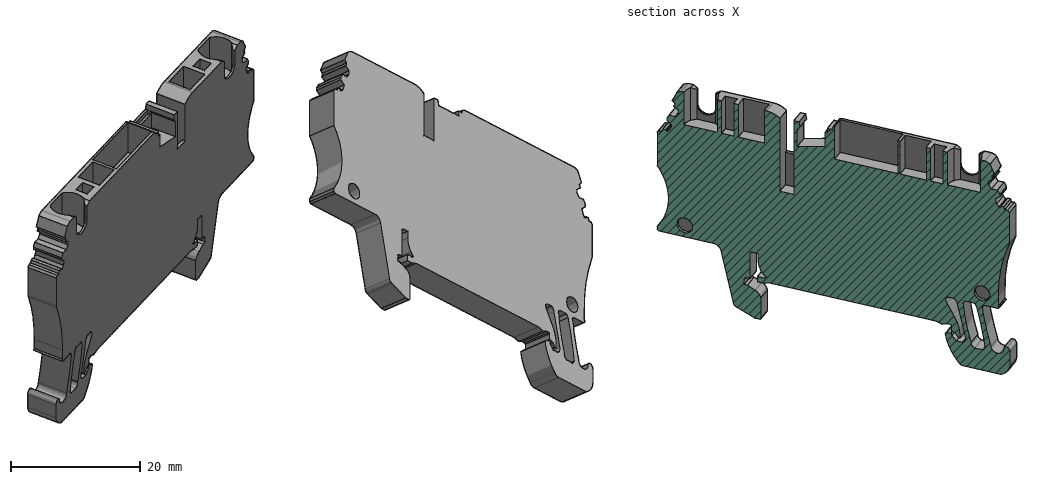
import cadquery as cq
import math

THICKNESS = 5.1
HALF_LENGTH = 29.7
HEIGHT = 38.35
BODY_BOTTOM = 11.9
RAIL_SEAT = 7.0
HALF_THICKNESS = THICKNESS / 2
OVERCUT = 0.6

TEETH = [
    (26.4, 37.95), (27.2, 36.3), (26.75, 35.85), (26.75, 35.45), (26.95, 35.3),
    (26.2, 34.75), (26.2, 34.15), (26.65, 33.5), (27.65, 33.55), (28.1, 32.85), (28.1, 32.4),
    (27.3, 31.75), (27.55, 31.0), (27.9, 30.5), (28.15, 30.5), (28.2, 30.75), (28.7, 30.75),
    (28.9, 30.3), (29.4, 30.3), (HALF_LENGTH, 29.9),
]

TOP_END = 25.5
TOP_ROUND = (26.05, 38.2)

WAIST_TOP = 23.75
WAIST_Y = 27.85
WAIST_LOW = 12.7
PLAIN_WAIST_TOP = 24.3
PLAIN_WAIST_LOW = 12.45
PLAIN_WAIST_STRAIGHT = 14.3
CORNER_CHAMFER = 0.3
FLARE_Y = 28.0

SLOT_Y = (6.65, 9.0)
SLOT_FLOOR = 30.2
SLOT_LEAD_IN = 2.25
SLOT_LEAD_DROP = 0.85
LIP_TOP = 37.7
LIP_Y = 5.6
LIP_TOP_Y = 5.75
GAP_FLOOR = 36.8
GAP_END_Y = 1.0
STEP_END_Y = 0.25
TOP_START_Y = -0.25

PAIR_Y = 0.2
POCKET_DEPTH = 5.95
WIRE_OFFSET = 13.6
WIRE_SIZE = (3.8, 4.35)
TEST_OFFSET = 17.6
TEST_SIZE = 2.0
TEST_X = 0.35
SCREW_OFFSET = 22.2
SCREW_DIAMETER = 5.55
SCREW_WIDTH = 4.3
SCREW_X = 0.05
NOTCH_TOP_WIDTH = 4.7
NOTCH_WIDTH = 3.15
NOTCH_LEAD_DROP = 0.55
NOTCH_DEPTH = 4.75
LONG_POCKET_X = (-2.2, 2.1)
LONG_POCKET_Y = (-10.8, TOP_START_Y)
SLOT_POCKET_X = (-1.7, 2.0)

RECESS_Y = (1.4, LIP_Y)
UNDERCUT_Y = 6.05
UNDERCUT_TOP = 36.1
RECESS_X = -1.7
RECESS_FLOOR = (34.3, 33.15)
LEDGE_X = -2.15
LEDGE_Z = 36.0

HOLE_DIAMETER = 2.55
HOLE_Y = 25.05
HOLE_Z = 14.05
HOLE_DEPTH = 3.0


def plate(outline):
    """Extrude a closed YZ outline over the full thickness."""
    return outline.close().extrude(HALF_THICKNESS, both=True)


def box(x_range, y_range, z_range):
    size = [high - low for low, high in (x_range, y_range, z_range)]
    return cq.Workplane("XY").box(*size, centered=False).translate((x_range[0], y_range[0], z_range[0]))


def top_pocket(x_range, y_range, opening=HEIGHT):
    return box(x_range, y_range, (opening - POCKET_DEPTH, opening + OVERCUT))


def around(center, size):
    return (center - size / 2, center + size / 2)


def body():
    left_teeth = [(-y, z) for y, z in TEETH]
    waist_middle = (WAIST_TOP + WAIST_LOW) / 2
    outline = (
        cq.Workplane("YZ")
        .moveTo(SLOT_Y[1] + SLOT_LEAD_IN, HEIGHT)
        .lineTo(TOP_END, HEIGHT)
        .threePointArc(TOP_ROUND, TEETH[0])
        .polyline(TEETH[1:], includeCurrent=True)
        .lineTo(HALF_LENGTH, WAIST_TOP)
        .threePointArc((WAIST_Y, waist_middle), (HALF_LENGTH, WAIST_LOW))
        .lineTo(HALF_LENGTH, BODY_BOTTOM + CORNER_CHAMFER)
        .lineTo(HALF_LENGTH - CORNER_CHAMFER, BODY_BOTTOM)
        .lineTo(CORNER_CHAMFER - FLARE_Y, BODY_BOTTOM)
        .lineTo(-FLARE_Y, BODY_BOTTOM + CORNER_CHAMFER)
        .lineTo(-WAIST_Y, PLAIN_WAIST_LOW)
        .lineTo(-WAIST_Y, PLAIN_WAIST_STRAIGHT)
        .threePointArc((-28.25, 19.35), (-29.55, 23.9))
        .lineTo(-HALF_LENGTH, PLAIN_WAIST_TOP)
        .polyline(left_teeth[::-1], includeCurrent=True)
        .threePointArc((-TOP_ROUND[0], TOP_ROUND[1]), (-TOP_END, HEIGHT))
        .lineTo(TOP_START_Y, HEIGHT)
        .threePointArc((0.05, 38.2), (STEP_END_Y, LIP_TOP))
        .lineTo(GAP_END_Y, LIP_TOP)
        .lineTo(GAP_END_Y, GAP_FLOOR)
        .lineTo(LIP_Y, GAP_FLOOR)
        .lineTo(LIP_TOP_Y, LIP_TOP)
        .lineTo(SLOT_Y[0], LIP_TOP)
        .lineTo(SLOT_Y[0], SLOT_FLOOR)
        .lineTo(SLOT_Y[1], SLOT_FLOOR)
        .lineTo(SLOT_Y[1], HEIGHT - SLOT_LEAD_DROP)
        .threePointArc((10.0, 38.1), (SLOT_Y[1] + SLOT_LEAD_IN, HEIGHT))
    )
    return plate(outline)


def rail_block():
    """Lower middle of the body, with a rail claw at each end."""
    outline = (
        cq.Workplane("YZ")
        .moveTo(12.7, BODY_BOTTOM)
        .lineTo(12.7, 10.7)
        .threePointArc((12.45, 9.35), (11.4, 8.0))
        .lineTo(11.6, 7.8)
        .lineTo(12.8, 7.8)
        .lineTo(12.8, 6.7)
        .lineTo(11.65, 6.7)
        .lineTo(10.8, RAIL_SEAT)
        .lineTo(-17.25, RAIL_SEAT)
        .lineTo(-18.3, 6.7)
        .lineTo(-19.15, RAIL_SEAT)
        .lineTo(-19.7, RAIL_SEAT)
        .lineTo(-19.85, 6.85)
        .lineTo(-19.85, 5.9)
        .lineTo(-20.5, 5.65)
        .lineTo(-21.0, 5.0)
        .lineTo(-21.35, 5.0)
        .threePointArc((-21.05, 7.3), (-20.2, 9.0))
        .lineTo(-19.1, 10.95)
        .threePointArc((-19.0, 11.55), (-19.35, BODY_BOTTOM))
    )
    return plate(outline)


def fixed_foot():
    outline = (
        cq.Workplane("YZ")
        .moveTo(20.2, BODY_BOTTOM)
        .threePointArc((19.4, 11.6), (19.0, 10.9))
        .lineTo(16.9, 1.9)
        .threePointArc((16.8, 1.55), (16.4, 1.3))
        .lineTo(13.2, 0)
        .lineTo(12.4, 0)
        .lineTo(12.2, 0.2)
        .lineTo(12.2, 4.05)
        .threePointArc((12.55, 4.7), (13.15, 5.2))
        .lineTo(14.45, 5.75)
        .lineTo(15.0, 5.8)
        .lineTo(15.0, 6.8)
        .lineTo(14.75, RAIL_SEAT)
        .lineTo(14.05, RAIL_SEAT)
        .lineTo(14.05, 11.65)
        .lineTo(13.8, BODY_BOTTOM)
    )
    return plate(outline)


def spring_foot():
    """Hooked foot hanging on two slender legs."""
    outline = (
        cq.Workplane("YZ")
        .moveTo(-20.2, BODY_BOTTOM)
        .threePointArc((-20.6, 11.65), (-20.8, 11.1))
        .lineTo(-22.2, 5.4)
        .threePointArc((-22.1, 4.75), (-21.75, 4.35))
        .lineTo(-20.75, 4.35)
        .lineTo(-20.0, 5.1)
        .lineTo(-19.85, 5.6)
        .lineTo(-19.05, 5.35)
        .lineTo(-18.8, 5.1)
        .threePointArc((-19.6, 2.55), (-21.0, 0.55))
        .threePointArc((-21.4, 0.1), (-21.9, 0))
        .lineTo(-28.2, 0)
        .threePointArc((-29.2, 0.7), (-29.8, 2.1))
        .lineTo(-29.8, 4.65)
        .threePointArc((-29.6, 5.05), (-29.3, 5.3))
        .threePointArc((-28.95, 5.3), (-28.65, 4.95))
        .threePointArc((-27.65, 3.8), (-26.6, 4.75))
        .threePointArc((-25.75, 8.05), (-25.1, 11.55))
        .lineTo(-25.4, BODY_BOTTOM)
    )
    window = (
        cq.Workplane("YZ")
        .moveTo(-22.2, BODY_BOTTOM)
        .lineTo(-21.9, 11.55)
        .threePointArc((-22.3, 8.5), (-23.25, 4.7))
        .threePointArc((-23.45, 4.05), (-23.85, 3.8))
        .lineTo(-25.15, 3.8)
        .lineTo(-25.5, 4.3)
        .threePointArc((-24.9, 7.75), (-24.1, 11.35))
        .lineTo(-23.75, BODY_BOTTOM)
    )
    return plate(outline).cut(plate(window))


def screw_hole(center_y):
    """Round hole with flats along Y and bevels at +X, breaking out to +X through a notch with sloped lips."""
    floor = HEIGHT - POCKET_DEPTH
    radius = SCREW_DIAMETER / 2
    half_width = SCREW_WIDTH / 2
    flat_end = math.sqrt(radius**2 - half_width**2)
    half_top = NOTCH_TOP_WIDTH / 2
    half_notch = NOTCH_WIDTH / 2
    bevel_x = math.sqrt(radius**2 - half_top**2)
    hole = (
        cq.Workplane("XY", origin=(SCREW_X, center_y, floor))
        .moveTo(-half_width, -flat_end)
        .lineTo(-half_width, flat_end)
        .threePointArc((0, radius), (bevel_x, half_top))
        .lineTo(half_width, half_notch)
        .lineTo(half_width, -half_notch)
        .lineTo(bevel_x, -half_top)
        .threePointArc((0, -radius), (-half_width, -flat_end))
        .close()
        .extrude(POCKET_DEPTH + OVERCUT)
    )
    lip_bottom = HEIGHT - NOTCH_LEAD_DROP
    arc_ends = HEIGHT - NOTCH_DEPTH + half_notch
    notch = (
        cq.Workplane("YZ", origin=(SCREW_X, center_y, 0))
        .moveTo(half_top, HEIGHT)
        .lineTo(half_notch, lip_bottom)
        .lineTo(half_notch, arc_ends)
        .threePointArc((0, HEIGHT - NOTCH_DEPTH), (-half_notch, arc_ends))
        .lineTo(-half_notch, lip_bottom)
        .lineTo(-half_top, HEIGHT)
        .close()
        .extrude(HALF_THICKNESS)
    )
    return hole.union(notch)


def stepped_recess():
    """Pocket in the gap that leaves a stepped wall on the -X side."""
    start, end = RECESS_Y
    sloped = (
        cq.Workplane("YZ", origin=(RECESS_X, 0, 0))
        .moveTo(start, HEIGHT)
        .lineTo(start, RECESS_FLOOR[0])
        .lineTo(UNDERCUT_Y, RECESS_FLOOR[1])
        .lineTo(UNDERCUT_Y, UNDERCUT_TOP)
        .lineTo(end, GAP_FLOOR)
        .lineTo(end, HEIGHT)
        .close()
        .extrude(THICKNESS)
    )
    return sloped.union(box((LEDGE_X, 0), RECESS_Y, (LEDGE_Z, HEIGHT)))


def marking_hole(center_y):
    return (
        cq.Workplane("YZ", origin=(-HALF_THICKNESS, center_y, HOLE_Z))
        .circle(HOLE_DIAMETER / 2)
        .extrude(HOLE_DEPTH)
    )


result = body().union(rail_block()).union(fixed_foot()).union(spring_foot())

for side in (-1, 1):
    wire_y = PAIR_Y + side * WIRE_OFFSET
    test_y = PAIR_Y + side * TEST_OFFSET
    result = result.cut(top_pocket(around(0, WIRE_SIZE[0]), around(wire_y, WIRE_SIZE[1])))
    result = result.cut(top_pocket(around(TEST_X, TEST_SIZE), around(test_y, TEST_SIZE)))
    result = result.cut(screw_hole(PAIR_Y + side * SCREW_OFFSET))
    result = result.cut(marking_hole(side * HOLE_Y))

result = result.cut(top_pocket(LONG_POCKET_X, LONG_POCKET_Y))
result = result.cut(top_pocket(SLOT_POCKET_X, SLOT_Y, opening=SLOT_FLOOR))
result = result.cut(stepped_recess())